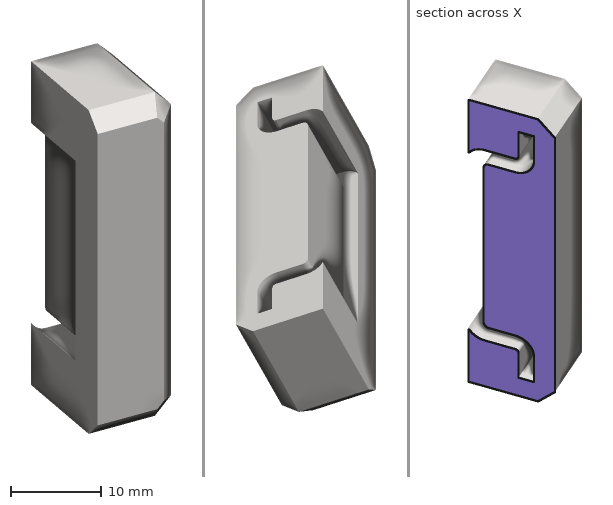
import cadquery as cq
import math

width = 15.0
depth = 10.5
height = 41.0
chamfer = 2.05

slot_length = 9.95
flange_back = 7.9
flange_front = 6.1
panel_back = 1.8
flange_end = 17.8
web_outer = 13.78
web_inner = 11.9
outer_bend = 2.3
flange_bend = 0.5
panel_bend = 0.7
mouth_center_y = 1.95


def make_block():
    block = cq.Workplane("XY").box(width, depth, height, centered=(False, False, True))
    block = block.faces(">Y").edges("|X").chamfer(chamfer)
    return block.faces(">X").edges("not <Y").chamfer(chamfer)


def bend(sketch, center_y, center_z, radius, start_angle, end_angle):
    """Line to the start of a bend, then its arc; angles are in degrees from +Y towards +Z."""
    def at(angle):
        turn = math.radians(angle)
        return (center_y + radius * math.cos(turn), center_z + radius * math.sin(turn))

    middle = (start_angle + end_angle) / 2
    return sketch.lineTo(*at(start_angle)).threePointArc(at(middle), at(end_angle))


def make_half_slot():
    mouth_angle = math.degrees(math.acos(-mouth_center_y / outer_bend))
    sketch = cq.Workplane("YZ").moveTo(0, 0).lineTo(panel_back, 0)
    sketch = bend(sketch, panel_back + panel_bend, web_inner - panel_bend, panel_bend, 180, 90)
    sketch = bend(sketch, flange_back - outer_bend, web_inner + outer_bend, outer_bend, -90, 0)
    sketch = sketch.lineTo(flange_back, flange_end).lineTo(flange_front, flange_end)
    sketch = bend(sketch, flange_front - flange_bend, web_outer + flange_bend, flange_bend, 0, -90)
    sketch = bend(sketch, mouth_center_y, web_outer - outer_bend, outer_bend, 90, mouth_angle)
    return sketch.close().extrude(slot_length)


upper_slot = make_half_slot()
slot = upper_slot.union(upper_slot.mirror("XY"))
result = make_block().cut(slot)